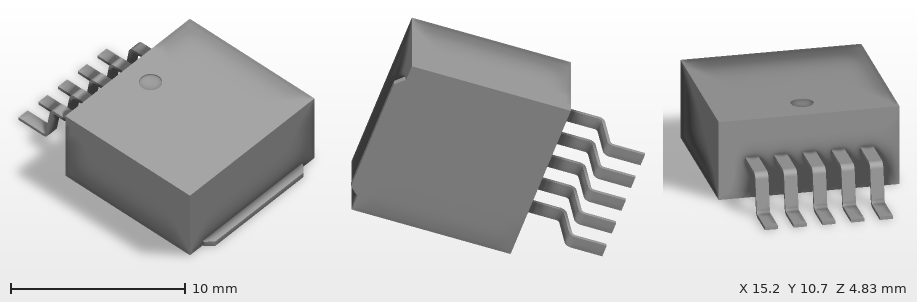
import cadquery as cq
import math

OVERALL_LENGTH = 15.24
HOUSING_LENGTH = 9.65
HOUSING_WIDTH = 10.65
HOUSING_HEIGHT = 4.83

TAB_LENGTH = 0.56
TAB_WIDTH = 8.47
TAB_THICKNESS = 0.35
TAB_CHAMFER = 0.45

LEAD_COUNT = 5
LEAD_PITCH = 1.69
LEAD_WIDTH = 0.78
LEAD_THICKNESS = 0.2
LEAD_TOP = 2.51
FOOT_LENGTH = 1.89
BEND_RADIUS = 0.3
BEND_ANGLE = 80.0

MARKER_DIAMETER = 1.33
MARKER_FROM_FACE = 1.78
MARKER_THICKNESS = 0.09
MARKER_SINK = 0.09

LEAD_TIP_X = -OVERALL_LENGTH / 2
TAB_END_X = OVERALL_LENGTH / 2
HOUSING_BACK_X = TAB_END_X - TAB_LENGTH
HOUSING_FRONT_X = HOUSING_BACK_X - HOUSING_LENGTH
MARKER_X = HOUSING_FRONT_X + MARKER_FROM_FACE
MARKER_POCKET_FLOOR = HOUSING_HEIGHT - MARKER_SINK - MARKER_THICKNESS


def marker_cylinder(height):
    """Upright cylinder of the marker diameter, standing on the pocket floor."""
    return (
        cq.Workplane("XY", origin=(MARKER_X, 0, MARKER_POCKET_FLOOR))
        .circle(MARKER_DIAMETER / 2)
        .extrude(height)
    )


def make_housing():
    """Block with the round pocket that holds the marker."""
    block = cq.Workplane("XY", origin=(HOUSING_FRONT_X, 0, 0)).box(
        HOUSING_LENGTH, HOUSING_WIDTH, HOUSING_HEIGHT, centered=(False, True, False)
    )
    return block.cut(marker_cylinder(MARKER_THICKNESS + MARKER_SINK))


def make_marker():
    """Thin disc on the floor of the housing pocket."""
    return marker_cylinder(MARKER_THICKNESS)


def make_tab():
    """Flat plate against the back of the housing, with its two free corners chamfered."""
    plate = cq.Workplane("XY", origin=(HOUSING_BACK_X, 0, 0)).box(
        TAB_LENGTH, TAB_WIDTH, TAB_THICKNESS, centered=(False, True, False)
    )
    return plate.faces(">X").edges("|Z").chamfer(TAB_CHAMFER)


def lead_centreline(y):
    """Path through the middle of the lead: foot, bend, slope, bend, shoulder."""
    angle = math.radians(BEND_ANGLE)
    foot_z = LEAD_THICKNESS / 2
    shoulder_z = LEAD_TOP - LEAD_THICKNESS / 2

    bend_run = BEND_RADIUS * math.sin(angle)
    bend_rise = BEND_RADIUS * (1 - math.cos(angle))
    slope_rise = shoulder_z - foot_z - 2 * bend_rise
    slope_run = slope_rise / math.tan(angle)

    foot_end_x = LEAD_TIP_X + FOOT_LENGTH
    slope_start = (foot_end_x + bend_run, foot_z + bend_rise)
    slope_end = (slope_start[0] + slope_run, slope_start[1] + slope_rise)
    shoulder_start = (slope_end[0] + bend_run, shoulder_z)

    return (
        cq.Workplane("XZ", origin=(0, y, 0))
        .moveTo(LEAD_TIP_X, foot_z)
        .lineTo(foot_end_x, foot_z)
        .tangentArcPoint(slope_start, relative=False)
        .lineTo(*slope_end)
        .tangentArcPoint(shoulder_start, relative=False)
        .lineTo(HOUSING_FRONT_X, shoulder_z)
    )


def make_lead(y):
    """One lead: a rectangular strip swept along its centreline."""
    section = cq.Workplane("YZ", origin=(LEAD_TIP_X, y, LEAD_THICKNESS / 2))
    return section.rect(LEAD_WIDTH, LEAD_THICKNESS).sweep(lead_centreline(y))


housing = make_housing()
marker = make_marker()
tab = make_tab()

leads = []
for index in range(LEAD_COUNT):
    lead_y = (index - (LEAD_COUNT - 1) / 2) * LEAD_PITCH
    leads.append(make_lead(lead_y).val())

result = cq.Compound.makeCompound([housing.val(), marker.val(), tab.val(), *leads])